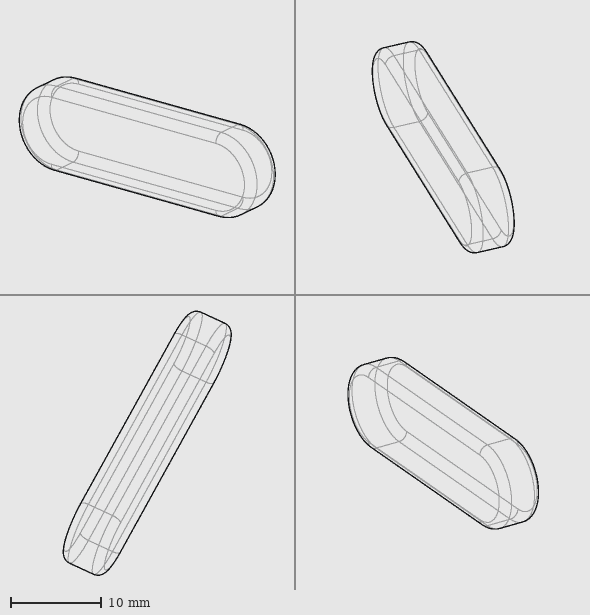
import cadquery as cq

length = 33.0
height = 10.0
thickness = height / 2
edge_radius = height / 10

bar = cq.Workplane("XZ").slot2D(length, height).extrude(thickness / 2, both=True)

result = bar.faces("<Y or >Y").edges().fillet(edge_radius)